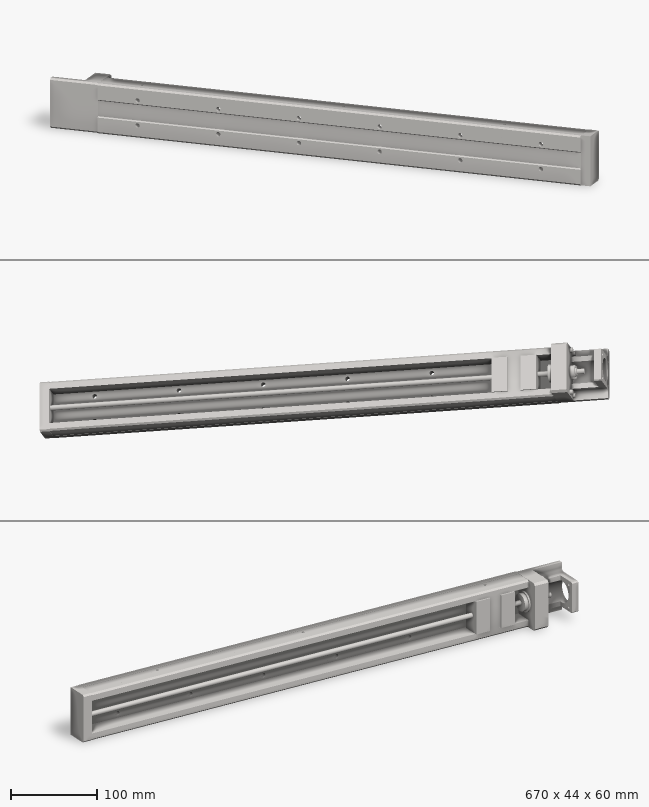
import cadquery as cq


LENGTH = 670.0
WIDTH = 60.0
HEIGHT = 44.0
AXIS_Y = 23.0

BRACKET_BOTTOM = 1.5
PLATE_TOP = 9.0
PLATE_CHAMFER = 2.0
FLANGE_THICKNESS = 9.0
NECK_WIDTH = 39.0
WEB_TOP = 19.5
NECK_FILLET = 4.0
FLANGE_CHAMFER = 1.5
MOTOR_BORE = 27.5
MOTOR_HOLE_PITCH = 29.0
MOTOR_HOLE = 3.5
BLOCK_START = 41.0
BLOCK_END = 59.5
BLOCK_CHAMFER = 3.0

RETAINER_DIAMETER = 15.5
RETAINER_START = 35.0
RETAINER_NOSE_DIAMETER = 9.5
RETAINER_NOSE_START = 33.5
RETAINER_NOTCH_WIDTH = 4.0
RETAINER_NOTCH_DEPTH = 2.0
SCREW_HEAD_DIAMETER = 5.5
SCREW_HEAD_START = 37.5
SCREW_Z = 25.5
SCREW_HEIGHTS = (13.0, 27.0)
SHAFT_DIAMETER = 6.0
SHAFT_START = 25.0
STOPPER_DIAMETER = 25.5
STOPPER_LENGTH = 2.0
STOPPER_NOSE_DIAMETER = 21.5
STOPPER_NOSE_LENGTH = 7.0

RAIL_END = 658.5
RAIL_TOP = 31.0
RAIL_CHAMFER = 2.0
FOOT_TOP = 9.5
WALL_SETBACK = 0.35
CAVITY_WIDTH = 41.5
FLOOR_TOP = 9.0
GROOVE_WIDTH = 21.5
GROOVE_FLOOR_WIDTH = 19.0
GROOVE_DEPTH = 1.7
MOUNT_HOLE = 5.5
MOUNT_HOLE_FIRST = 109.0
MOUNT_HOLE_SPAN = 500.5
MOUNT_HOLE_COUNT = 6
MOUNT_ROW_SPACING = 30.0
SIDE_HOLE = 3.5
SIDE_HOLE_DEPTH = 5.5
SIDE_HOLE_Y = 15.0
SIDE_HOLE_PLACES = (MOUNT_HOLE_FIRST, 359.0, 559.0)

CAP_BOTTOM = 3.0
CAP_CHAMFER = 2.0

CARRIAGE_BOTTOM = 11.0
PAD_TOP = 33.0
PAD_RELIEF = 2.0
PAD_LENGTH = 19.0
PAD_GAP = 15.5
CARRIAGE_START = 80.0


def block(x_start, x_end, y_start, y_end, width):
    """Box between two X and two Y limits, centred on Z = 0."""
    length = x_end - x_start
    height = y_end - y_start
    centre = ((x_start + x_end) / 2, (y_start + y_end) / 2, 0)
    return cq.Workplane("XY").box(length, height, width).translate(centre)


def rod(x_start, x_end, diameter, y=AXIS_Y, z=0.0):
    """Cylinder along X between two X limits."""
    axis_start = cq.Vector(x_start, y, z)
    direction = cq.Vector(1, 0, 0)
    return cq.Workplane(cq.Solid.makeCylinder(diameter / 2, x_end - x_start, axis_start, direction))


def base_plate():
    plate = block(0, BLOCK_END, BRACKET_BOTTOM, PLATE_TOP, WIDTH)
    return plate.edges("|X and <Y").chamfer(PLATE_CHAMFER)


def motor_flange():
    """Upright flange and low web, narrower than the base plate and filleted onto it."""
    flange = block(0, FLANGE_THICKNESS, BRACKET_BOTTOM + PLATE_CHAMFER, HEIGHT, NECK_WIDTH)
    flange = flange.edges("|X and >Y").chamfer(FLANGE_CHAMFER)
    web = block(0, BLOCK_START, BRACKET_BOTTOM + PLATE_CHAMFER, WEB_TOP, NECK_WIDTH)
    neck = flange.union(web)
    for side in (-1, 1):
        root = side * NECK_WIDTH / 2
        outer = root + side * NECK_FILLET
        fillet = (
            cq.Workplane("YZ")
            .moveTo(PLATE_TOP, root)
            .lineTo(PLATE_TOP + NECK_FILLET, root)
            .radiusArc((PLATE_TOP, outer), side * NECK_FILLET)
            .close()
            .extrude(BLOCK_START)
        )
        neck = neck.union(fillet)
    return neck


def bearing_block():
    housing = block(BLOCK_START, BLOCK_END, BRACKET_BOTTOM, HEIGHT, WIDTH)
    housing = housing.edges("|X and >Y").chamfer(BLOCK_CHAMFER)
    return housing.edges("|X and <Y").chamfer(PLATE_CHAMFER)


def motor_bracket():
    bracket = base_plate().union(motor_flange()).union(bearing_block())
    bracket = bracket.cut(rod(0, BLOCK_START, MOTOR_BORE))
    for y_side in (-1, 1):
        for z_side in (-1, 1):
            y = AXIS_Y + y_side * MOTOR_HOLE_PITCH / 2
            z = z_side * MOTOR_HOLE_PITCH / 2
            bracket = bracket.cut(rod(0, FLANGE_THICKNESS, MOTOR_HOLE, y, z))
    return bracket


def bearing_retainer():
    """Stepped ring in front of the bearing, with two spanner notches in its rim."""
    retainer = rod(RETAINER_START, BLOCK_START, RETAINER_DIAMETER)
    retainer = retainer.union(rod(RETAINER_NOSE_START, BLOCK_START, RETAINER_NOSE_DIAMETER))
    notch = block(
        RETAINER_START,
        BLOCK_START,
        AXIS_Y - RETAINER_NOTCH_WIDTH / 2,
        AXIS_Y + RETAINER_NOTCH_WIDTH / 2,
        RETAINER_NOTCH_DEPTH,
    )
    for side in (-1, 1):
        notch_z = side * (RETAINER_DIAMETER - RETAINER_NOTCH_DEPTH) / 2
        retainer = retainer.cut(notch.translate((0, 0, notch_z)))
    return retainer


def add_screw_heads(body):
    for y in SCREW_HEIGHTS:
        for side in (-1, 1):
            body = body.union(rod(SCREW_HEAD_START, BLOCK_START, SCREW_HEAD_DIAMETER, y, side * SCREW_Z))
    return body


def stopper():
    disc = rod(BLOCK_END, BLOCK_END + STOPPER_LENGTH, STOPPER_DIAMETER)
    return disc.union(rod(BLOCK_END, BLOCK_END + STOPPER_NOSE_LENGTH, STOPPER_NOSE_DIAMETER))


def rail_profile():
    """Half of the U-shaped section for Z > 0, in (Y, Z) coordinates."""
    foot = WIDTH / 2
    wall = foot - WALL_SETBACK
    return [
        (GROOVE_DEPTH, 0),
        (GROOVE_DEPTH, GROOVE_FLOOR_WIDTH / 2),
        (0, GROOVE_WIDTH / 2),
        (0, foot - RAIL_CHAMFER),
        (RAIL_CHAMFER, foot),
        (FOOT_TOP, foot),
        (FOOT_TOP, wall),
        (RAIL_TOP - RAIL_CHAMFER, wall),
        (RAIL_TOP, wall - RAIL_CHAMFER),
        (RAIL_TOP, CAVITY_WIDTH / 2),
        (FLOOR_TOP, CAVITY_WIDTH / 2),
        (FLOOR_TOP, 0),
    ]


def extrude_rail():
    half = (
        cq.Workplane("YZ", origin=(BLOCK_END, 0, 0))
        .polyline(rail_profile())
        .close()
        .extrude(RAIL_END - BLOCK_END)
    )
    return half.union(half.mirror("XY"))


def drill_mount_holes(body):
    """Two rows of holes through the floor."""
    direction = cq.Vector(0, 1, 0)
    pitch = MOUNT_HOLE_SPAN / (MOUNT_HOLE_COUNT - 1)
    for index in range(MOUNT_HOLE_COUNT):
        for side in (-1, 1):
            start = cq.Vector(MOUNT_HOLE_FIRST + index * pitch, 0, side * MOUNT_ROW_SPACING / 2)
            body = body.cut(cq.Workplane(cq.Solid.makeCylinder(MOUNT_HOLE / 2, FLOOR_TOP, start, direction)))
    return body


def drill_side_holes(body):
    """Blind holes in the +Z wall."""
    direction = cq.Vector(0, 0, -1)
    wall_face = WIDTH / 2 - WALL_SETBACK
    for x in SIDE_HOLE_PLACES:
        start = cq.Vector(x, SIDE_HOLE_Y, wall_face)
        body = body.cut(cq.Workplane(cq.Solid.makeCylinder(SIDE_HOLE / 2, SIDE_HOLE_DEPTH, start, direction)))
    return body


def rail():
    return drill_side_holes(drill_mount_holes(extrude_rail()))


def end_cap():
    cap = block(RAIL_END, LENGTH, CAP_BOTTOM, RAIL_TOP, WIDTH)
    return cap.edges("|X and >Y").chamfer(CAP_CHAMFER)


def make_frame():
    """Bracket, rail, end cap and drive shaft as one solid."""
    frame = motor_bracket().union(rail()).union(end_cap())
    frame = frame.union(bearing_retainer()).union(stopper())
    frame = add_screw_heads(frame)
    return frame.union(rod(SHAFT_START, RAIL_END, SHAFT_DIAMETER))


def make_carriage():
    """Slider between the rail walls, with two raised pads and a bore for the shaft."""
    length = 2 * PAD_LENGTH + PAD_GAP
    carriage_end = CARRIAGE_START + length
    carriage = block(CARRIAGE_START, carriage_end, CARRIAGE_BOTTOM, PAD_TOP, CAVITY_WIDTH)
    gap_start = CARRIAGE_START + PAD_LENGTH
    gap = block(gap_start, gap_start + PAD_GAP, PAD_TOP - PAD_RELIEF, PAD_TOP, CAVITY_WIDTH)
    return carriage.cut(gap).cut(rod(CARRIAGE_START, carriage_end, SHAFT_DIAMETER))


frame = make_frame()
carriage = make_carriage()

result = cq.Compound.makeCompound([frame.val(), carriage.val()])